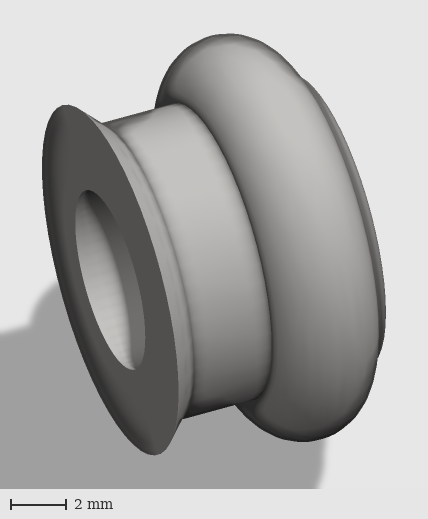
import cadquery as cq
import math

outer_radius = 7.5
length = 8.5
bore_radius = 3.33
flange_radius = 6.5
flange_length = 1.0
bead_radius = 2.0
bead_center_y = 6.0
collar_round = 0.25

neck_radius = outer_radius - bead_radius
bead_start_y = bead_center_y - bead_radius
collar_edge_y = length - collar_round

root_center_x = neck_radius + collar_round
center_distance = bead_radius + collar_round
root_center_y = bead_center_y + math.sqrt(center_distance**2 - collar_round**2)
tangent_angle = math.acos(collar_round / center_distance)
bead_end = (
    neck_radius + bead_radius * math.cos(tangent_angle),
    bead_center_y + bead_radius * math.sin(tangent_angle),
)

root_mid_angle = math.pi + tangent_angle / 2
root_mid = (
    root_center_x + collar_round * math.cos(root_mid_angle),
    root_center_y + collar_round * math.sin(root_mid_angle),
)
edge_center_x = neck_radius - collar_round
edge_mid = (
    edge_center_x + collar_round * math.cos(math.pi / 4),
    collar_edge_y + collar_round * math.sin(math.pi / 4),
)

profile = (
    cq.Workplane("XY")
    .moveTo(bore_radius, 0)
    .lineTo(flange_radius, 0)
    .lineTo(neck_radius, flange_length)
    .lineTo(neck_radius, bead_start_y)
    .threePointArc((outer_radius, bead_center_y), bead_end)
    .threePointArc(root_mid, (neck_radius, root_center_y))
    .lineTo(neck_radius, collar_edge_y)
    .threePointArc(edge_mid, (edge_center_x, length))
    .lineTo(bore_radius, length)
    .close()
)

result = profile.revolve(360, (0, 0, 0), (0, 1, 0))